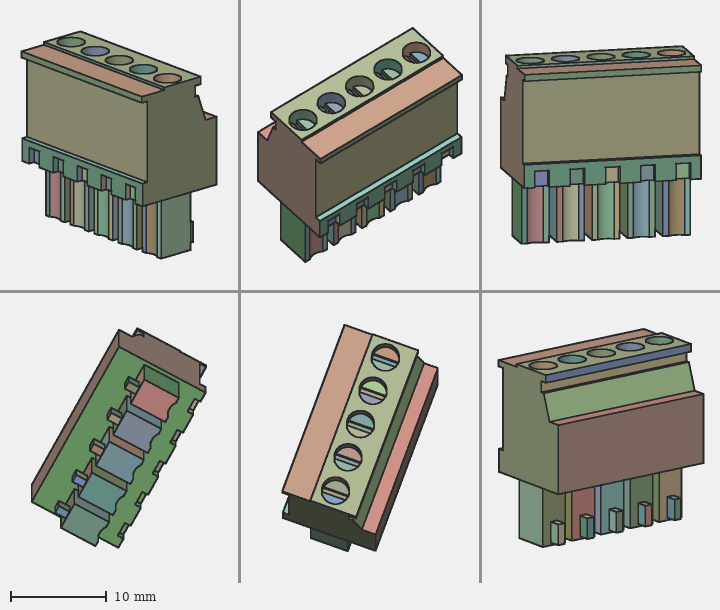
import cadquery as cq


WAY_COUNT = 5
WIDTH = 19.05
PITCH = WIDTH / WAY_COUNT
WAY_CENTERS = [(i - (WAY_COUNT - 1) / 2) * PITCH for i in range(WAY_COUNT)]

DEPTH = 10.4
FOOT_FRONT_Y = 0.08
BODY_FRONT_Y = 0.76
TOP_STEP_Y = 3.13
TOP_BACK_Y = 8.23
NECK_BACK_Y = 7.45
SLOPE_TOP_Y = 7.87
SLOPE_BOTTOM_Y = 8.88

HEIGHT = 19.1
HOUSING_BOTTOM_Z = 6.6
FOOT_TOP_Z = 9.13
SHELF_Z = 14.15
SLOPE_TOP_Z = 17.04
RIM_BOTTOM_Z = 18.26
LIP_TOP_Z = 18.8
LIP_BOTTOM_Z = 18.1

NOTCH_WIDTH = 1.57
NOTCH_HEIGHT = 1.78

LEG_WIDTH = 2.96
LEG_FRONT_Y = 3.04
LEG_BACK_Y = 7.16
GROOVE_WIDTH = 1.74
GROOVE_DEPTH = 0.3

KEY_WIDTH = 0.84
KEY_BACK_Y = 8.45
KEY_BOTTOM_Z = 0.3
KEY_TOP_Z = 2.58

SCREW_DIAMETER = 2.9
SCREW_Y = 5.25
SCREW_RECESS = 1.49
SCREW_HEIGHT = 2.0
SLOT_WIDTH = 0.55
SLOT_DEPTH = 0.5
SCREW_TOP_Z = HEIGHT - SCREW_RECESS
SCREW_BOTTOM_Z = SCREW_TOP_Z - SCREW_HEIGHT


def block(x_center, x_size, y_start, y_end, z_start, z_end):
    """Box centered on x_center, given by its Y and Z limits."""
    return cq.Workplane("XY").box(
        x_size, y_end - y_start, z_end - z_start, centered=(True, False, False)
    ).translate((x_center, y_start, z_start))


def cylinder(x_center, z_start, z_end):
    """Upright cylinder of the screw diameter on the axis of one way."""
    return (
        cq.Workplane("XY", origin=(x_center, SCREW_Y, z_start))
        .circle(SCREW_DIAMETER / 2)
        .extrude(z_end - z_start)
    )


def make_housing_profile():
    """Side profile of the housing, extruded over the full width."""
    outline = [
        (FOOT_FRONT_Y, HOUSING_BOTTOM_Z),
        (FOOT_FRONT_Y, FOOT_TOP_Z),
        (BODY_FRONT_Y, FOOT_TOP_Z),
        (BODY_FRONT_Y, LIP_BOTTOM_Z),
        (0, LIP_BOTTOM_Z),
        (0, LIP_TOP_Z),
        (TOP_STEP_Y, LIP_TOP_Z),
        (TOP_STEP_Y, HEIGHT),
        (TOP_BACK_Y, HEIGHT),
        (TOP_BACK_Y, RIM_BOTTOM_Z),
        (NECK_BACK_Y, RIM_BOTTOM_Z),
        (NECK_BACK_Y, SLOPE_TOP_Z),
        (SLOPE_TOP_Y, SLOPE_TOP_Z),
        (SLOPE_BOTTOM_Y, SHELF_Z),
        (DEPTH, SHELF_Z),
        (DEPTH, HOUSING_BOTTOM_Z),
    ]
    return cq.Workplane("YZ").polyline(outline).close().extrude(WIDTH / 2, both=True)


def make_leg(x_center):
    """Plug leg with a shallow round groove down its front and a key on its back."""
    half_width = LEG_WIDTH / 2
    half_groove = GROOVE_WIDTH / 2
    leg = (
        cq.Workplane("XY", origin=(x_center, 0, 0))
        .moveTo(-half_width, LEG_FRONT_Y)
        .lineTo(-half_groove, LEG_FRONT_Y)
        .threePointArc((0, LEG_FRONT_Y + GROOVE_DEPTH), (half_groove, LEG_FRONT_Y))
        .lineTo(half_width, LEG_FRONT_Y)
        .lineTo(half_width, LEG_BACK_Y)
        .lineTo(-half_width, LEG_BACK_Y)
        .close()
        .extrude(HOUSING_BOTTOM_Z)
    )
    key = block(x_center, KEY_WIDTH, LEG_BACK_Y, KEY_BACK_Y, KEY_BOTTOM_Z, KEY_TOP_Z)
    return leg.union(key)


def make_foot_notch(x_center):
    """Cutter for a notch in the front foot, open to the front and below and flush with the body front."""
    return block(
        x_center,
        NOTCH_WIDTH,
        FOOT_FRONT_Y,
        BODY_FRONT_Y,
        HOUSING_BOTTOM_Z,
        HOUSING_BOTTOM_Z + NOTCH_HEIGHT,
    )


def make_housing():
    """Housing with a leg, a foot notch and a blind screw hole for every way."""
    body = make_housing_profile()
    for x_center in WAY_CENTERS:
        body = body.union(make_leg(x_center))
        body = body.cut(make_foot_notch(x_center))
        body = body.cut(cylinder(x_center, SCREW_BOTTOM_Z, HEIGHT))
    return body


def make_screw(x_center):
    """Slotted screw that fills the lower part of its hole; the slot runs along Y."""
    slot = block(
        x_center,
        SLOT_WIDTH,
        SCREW_Y - SCREW_DIAMETER / 2,
        SCREW_Y + SCREW_DIAMETER / 2,
        SCREW_TOP_Z - SLOT_DEPTH,
        SCREW_TOP_Z,
    )
    return cylinder(x_center, SCREW_BOTTOM_Z, SCREW_TOP_Z).cut(slot)


housing = make_housing()
screws = [make_screw(x_center) for x_center in WAY_CENTERS]

result = cq.Compound.makeCompound([housing.val(), *[screw.val() for screw in screws]])